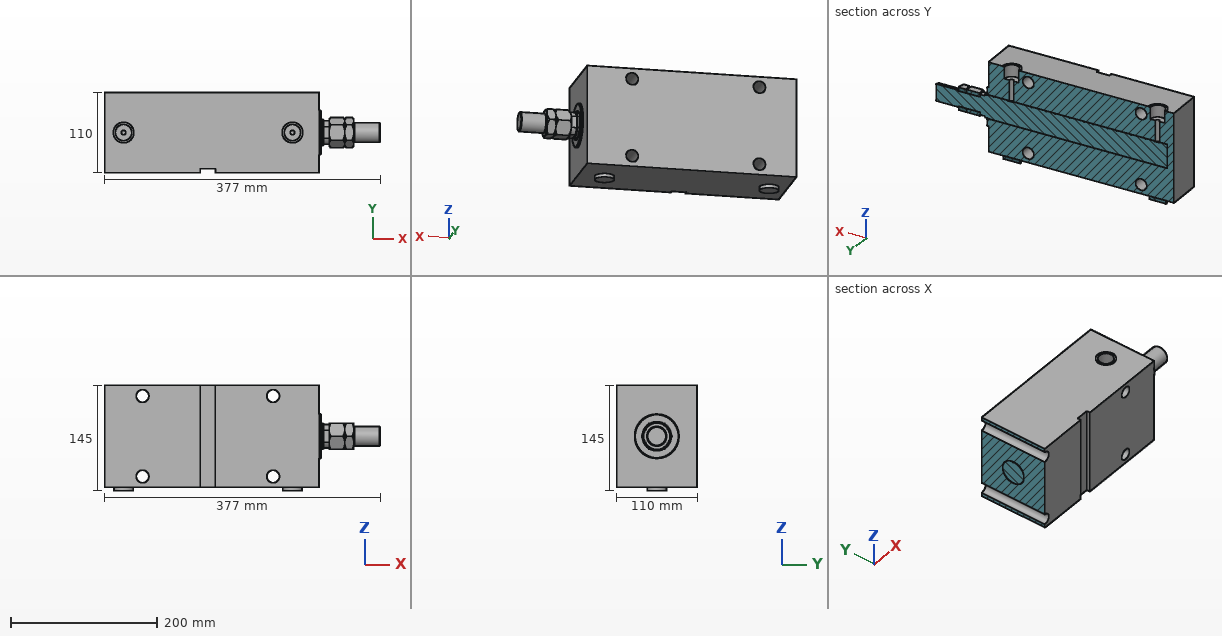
import cadquery as cq
import math

block_length = 293.5
block_width = 110.0
block_height = 140.0
axis_y = block_width / 2
axis_z = block_height / 2

groove_start = 131.2
groove_width = 20.5
groove_depth = 5.3

mount_diameter = 17.0
mount_xs = (52.0, 230.7)
mount_spacing_z = 110.0

port_xs = (26.0, 257.0)
spotface_diameter = 28.3
spotface_depth = 0.5
port_diameter = 22.2
port_depth = 19.0
passage_diameter = 6.0
plug_diameter = 26.8
plug_height = 5.0

collar_diameter = 61.0
collar_height = 2.5
collar_chamfer = 1.0
wiper_recess_diameter = 40.0
wiper_recess_depth = 1.0

rod_start = 11.3
shank_projection = 6.0
flats_length = 7.5
rod_diameter = 36.2
rod_chamfer = 1.0
flats_start = block_length + shank_projection
flats_width = 32.5

nut_across_flats = 36.2
nut_start = flats_start + flats_length
nut_height = 21.5
locknut_height = 12.5
nut_chamfer_length = 2.3

stud_diameter = 27.0
stud_chamfer = 1.0
thread_diameter = stud_diameter - 2 * stud_chamfer
locknut_start = nut_start + nut_height
stud_start = locknut_start + locknut_height
rod_end = 377.0


def rod_cylinder(start, end, diameter):
    """Cylinder on the rod axis between two X positions."""
    return (
        cq.Workplane("YZ", origin=(start, axis_y, axis_z))
        .circle(diameter / 2)
        .extrude(end - start)
    )


def upright_cylinder(x, bottom, top, diameter):
    """Vertical cylinder in the middle of the block's width."""
    return (
        cq.Workplane("XY", origin=(x, axis_y, bottom))
        .circle(diameter / 2)
        .extrude(top - bottom)
    )


def make_block():
    block = cq.Workplane("XY").box(block_length, block_width, block_height, centered=False)

    collar = rod_cylinder(block_length, block_length + collar_height, collar_diameter)
    block = block.union(collar.faces(">X").chamfer(collar_chamfer))

    groove = cq.Workplane("XY").box(groove_width, groove_depth, block_height, centered=False)
    block = block.cut(groove.translate((groove_start, 0, 0)))

    mount_points = [
        (x, axis_z + side * mount_spacing_z / 2) for x in mount_xs for side in (-1, 1)
    ]
    mount_holes = (
        cq.Workplane("XZ").pushPoints(mount_points).circle(mount_diameter / 2).extrude(-block_width)
    )
    block = block.cut(mount_holes)

    for x in port_xs:
        block = block.cut(
            upright_cylinder(x, block_height - spotface_depth, block_height, spotface_diameter)
        )
        block = block.cut(upright_cylinder(x, block_height - port_depth, block_height, port_diameter))
        block = block.cut(upright_cylinder(x, axis_z, block_height, passage_diameter))

    collar_face = block_length + collar_height
    rod_bore = rod_cylinder(rod_start, collar_face, rod_diameter)
    wiper_recess = rod_cylinder(collar_face - wiper_recess_depth, collar_face, wiper_recess_diameter)
    return block.cut(rod_bore).cut(wiper_recess)


def make_plug(x):
    return upright_cylinder(x, -plug_height, 0, plug_diameter)


def make_rod():
    shank = rod_cylinder(rod_start, flats_start, rod_diameter).faces(">X").chamfer(rod_chamfer)

    square = (
        cq.Workplane("YZ", origin=(flats_start, axis_y, axis_z))
        .rect(flats_width, flats_width)
        .extrude(flats_length)
    )
    wrench_flats = rod_cylinder(flats_start, nut_start, rod_diameter).intersect(square)

    thread = rod_cylinder(nut_start, stud_start, thread_diameter)
    stud = rod_cylinder(stud_start, rod_end, stud_diameter).faces("<X or >X").chamfer(stud_chamfer)
    return shank.union(wrench_flats).union(thread).union(stud)


def make_nut(start, height):
    """Hexagon nut with flats up and down and its corners chamfered at both ends."""
    corner_radius = nut_across_flats / 2 / math.cos(math.pi / 6)
    hexagon = (
        cq.Workplane("YZ", origin=(start, axis_y, axis_z))
        .polygon(6, 2 * corner_radius)
        .extrude(height)
    )

    face_radius = nut_across_flats / 2
    chamfered_round = (
        cq.Workplane("XY", origin=(start, axis_y, axis_z))
        .moveTo(0, 0)
        .lineTo(0, face_radius)
        .lineTo(nut_chamfer_length, corner_radius)
        .lineTo(height - nut_chamfer_length, corner_radius)
        .lineTo(height, face_radius)
        .lineTo(height, 0)
        .close()
        .revolve(360, (0, 0, 0), (1, 0, 0))
    )
    bore = rod_cylinder(start, start + height, thread_diameter)
    return hexagon.intersect(chamfered_round).cut(bore)


block = make_block()
plugs = [make_plug(x).val() for x in port_xs]
rod = make_rod()
nut = make_nut(nut_start, nut_height)
locknut = make_nut(locknut_start, locknut_height)

result = cq.Compound.makeCompound(
    [
        block.solids().val(),
        *plugs,
        rod.solids().val(),
        nut.solids().val(),
        locknut.solids().val(),
    ]
)